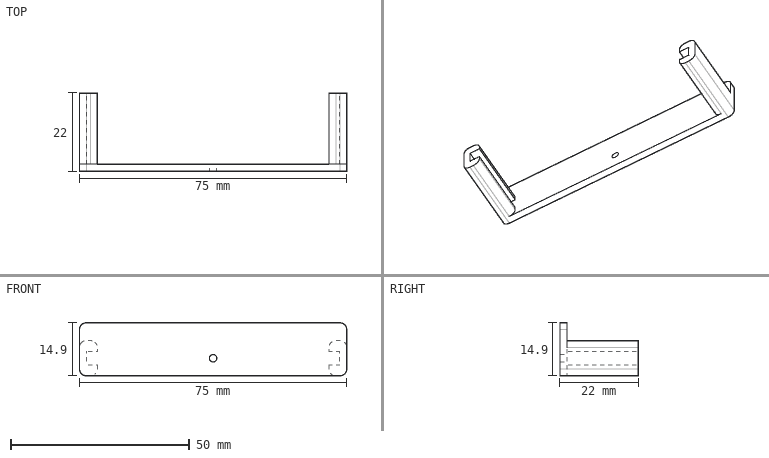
import cadquery as cq

length = 75.0
plate_height = 14.9
thickness = 2.0
corner_radius = 1.95

depth = 22.0
arm_width = 5.0
arm_height = 9.9
lip_height = 3.0
groove_depth = 3.0
groove_height = arm_height - 2 * lip_height

hole_diameter = 2.0
hole_height = arm_height / 2


def rounded_bar(width, bar_depth, height):
    """Bar along Y with rounded lengthwise edges, starting at the XZ plane."""
    bar = cq.Workplane("XY").box(width, bar_depth, height, centered=(True, False, False))
    return bar.edges("|Y").fillet(corner_radius)


def make_arm(side):
    """Grooved arm at the left (side = -1) or right (side = 1) end."""
    arm_center = side * (length - arm_width) / 2
    arm = rounded_bar(arm_width, depth, arm_height).translate((arm_center, 0, 0))
    groove_center = side * (length / 2 - arm_width + groove_depth / 2)
    groove = (
        cq.Workplane("XY")
        .box(groove_depth, depth, groove_height, centered=(True, False, False))
        .translate((groove_center, 0, lip_height))
    )
    return arm.cut(groove)


plate = rounded_bar(length, thickness, plate_height)
hole = (
    cq.Workplane("XZ")
    .center(0, hole_height)
    .circle(hole_diameter / 2)
    .extrude(-thickness)
)

result = plate.cut(hole)
for side in (-1, 1):
    result = result.union(make_arm(side))